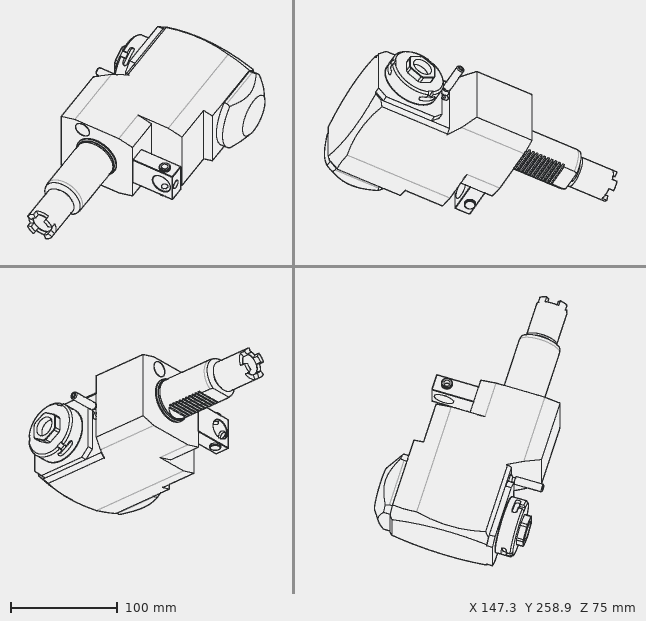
import cadquery as cq
import math


BODY_HALF_HEIGHT = 37.5
BLOCK_HALF_WIDTH = 39.0
SLOPE_WIDTH = 15.0
SLOPE = math.tan(math.radians(15))
STEP_Y = 35.2
HEAD_FRONT_Y = 75.0
HEAD_BACK_Y = 153.85
OVERALL_LENGTH = 258.85
MIDDLE_RIGHT_X = 72.1
HEAD_LEFT_X = -14.4
HEAD_RIGHT_X = 81.6
HEAD_LEFT_CHAMFER = 4.3
HEAD_LEFT_CHAMFER_WIDTH = 3.8
HEAD_CORNER_CHAMFER = 2.9
RELIEF_START_Y = 59.2
RELIEF_END_X = -9.6
CROWN_RADIUS = 186.0
CROWN_X = 23.5
CROWN_Y = 149.6
PLUG_X = -15.8
PLUG_Z = 27.6
PLUG_RADIUS = 7.6
PLUG_RECESS = 0.5

SPINDLE_Y = 120.0
PLATE_LEFT_X = -20.1
PLATE_HALF_HEIGHT = BODY_HALF_HEIGHT - HEAD_LEFT_CHAMFER
PLATE_CORNER = 8.2
NUT_RADIUS = 27.5
NUT_END_X = -37.3
NUT_START_X = -20.7
NUT_COLLAR_RADIUS = 26.7
NUT_CHAMFER = 2.0
NUT_SLOT_X = -29.0
NUT_SLOT_WIDTH = 4.8
NUT_SLOT_LENGTH = 18.6
NUT_NOTCH_WIDTH = 5.6
NUT_SLOT_FLOOR = 22.5
NUT_NOTCH_FLOOR = 24.6
NUT_SLOT_COUNT = 3
HEX_END_X = -44.1
HEX_ACROSS_FLATS = 27.0
HEX_CORNER_RADIUS = 14.85
HEX_CHAMFER = 0.5
HEX_BORE_RADIUS = 9.5
HEX_BORE_DEPTH = 7.0

NOZZLE_Y = 80.6
NOZZLE_Z = 17.2
NOZZLE_TIP_X = -47.2
NOZZLE_NECK_X = -19.6
NOZZLE_FLARE_X = -17.0
NOZZLE_RADIUS = 3.75
NOZZLE_NECK_RADIUS = 2.2
NOZZLE_FLARE_RADIUS = 4.6
NOZZLE_CHAMFER = 1.0
NOZZLE_BORE_RADIUS = 1.5
NOZZLE_BORE_DEPTH = 6.0
DRILL_Z = 10.2
DRILL_RADIUS = 1.5
DRILL_SEAT_RADIUS = 4.5
DRILL_SEAT_DEPTH = 0.3
DRILL_DEPTH = 5.0

CAP_RADIUS = 37.5
CAP_CONE_X = 88.3
CAP_END_X = 100.13
CAP_END_RADIUS = 20.7
CAP_BACK_Y = 149.8
CAP_FLAT_Z = 29.4
CAP_TILT_X = 84.5
CAP_TILT = 0.2

FLANGE_RADIUS = 21.6
FLANGE_LENGTH = 2.3
FLANGE_CHAMFER = 1.1
SHANK_RADIUS = 20.0
RELIEF_RADIUS = 19.85
RELIEF_LENGTH = 4.0
SHANK_TAPER_Y = -60.0
SHANK_END_Y = -63.2
SHANK_END_RADIUS = 19.4
FLAT_Z = -16.1
FLAT_START_Y = -8.2
FLAT_RAMP = SHANK_RADIUS + FLAT_Z
SERRATION_COUNT = 10
SERRATION_PITCH = 4.0
SERRATION_FIRST_Y = -11.5
SERRATION_DEPTH = 1.5
SERRATION_MOUTH = 3.0
SERRATION_ROOT = 1.6
NECK_RADIUS = 10.2
DRIVE_START_Y = -67.1
DRIVE_RADIUS = 15.0
DRIVE_SOCKET_Y = -99.4
CLAW_START_Y = -100.0
CLAW_END_Y = HEAD_BACK_Y - OVERALL_LENGTH
CLAW_COUNT = 4
CLAW_GAP_HALF_ANGLE = math.radians(26.5)

ARM_END_X = 82.2
ARM_FRONT_Y = 0.6
ARM_BACK_Y = 16.6
ARM_HALF_HEIGHT = 15.8
ARM_CHAMFER = 0.5
ARM_BORE_X = 70.1
ARM_BORE_RADIUS = 9.5
SCREW_Y = 6.9
SCREW_RADIUS = 5.3
SCREW_HEIGHT = 2.2
SCREW_CHAMFER = 0.7
SCREW_HOLE_RADIUS = 3.0
ARM_END_HOLE_RADIUS = 4.2

OVERLAP = 1.0
FULL_TURN = 360
HEX_SIDES = 6


def y_prism(points, y_start, y_end):
    """Prism along Y from an outline of (x, z) points."""
    plane = cq.Workplane("XZ", origin=(0, y_start, 0))
    return plane.polyline(points).close().extrude(y_start - y_end)


def x_cylinder(x_start, x_end, radius, y, z):
    plane = cq.Workplane("YZ", origin=(x_start, y, z))
    return plane.circle(radius).extrude(x_end - x_start)


def turned_on_x(points, y, z):
    """Solid turned about an axis along X from (x, radius) points."""
    profile = cq.Workplane("XY", origin=(0, y, z)).polyline(points).close()
    return profile.revolve(FULL_TURN, (0, 0, 0), (1, 0, 0))


def turned_on_y(points):
    """Solid turned about the shank axis from (radius, y) points."""
    profile = cq.Workplane("XY").polyline(points).close()
    return profile.revolve(FULL_TURN, (0, 0, 0), (0, 1, 0))


def right_sloped_outline(left_x, slope_x, right_x):
    """Right half of a (x, z) outline whose top and bottom slope down at the right."""
    edge_z = BODY_HALF_HEIGHT - SLOPE * (right_x - slope_x)
    return [
        (left_x, -BODY_HALF_HEIGHT),
        (slope_x, -BODY_HALF_HEIGHT),
        (right_x, -edge_z),
        (right_x, edge_z),
        (slope_x, BODY_HALF_HEIGHT),
        (left_x, BODY_HALF_HEIGHT),
    ]


def make_block():
    slope_x = BLOCK_HALF_WIDTH - SLOPE_WIDTH
    edge_z = BODY_HALF_HEIGHT - SLOPE * SLOPE_WIDTH
    outline = right_sloped_outline(-slope_x, slope_x, BLOCK_HALF_WIDTH)
    outline += [(-BLOCK_HALF_WIDTH, edge_z), (-BLOCK_HALF_WIDTH, -edge_z)]
    block = y_prism(outline, 0, HEAD_FRONT_Y)
    slope_start_x = MIDDLE_RIGHT_X - SLOPE_WIDTH
    middle_outline = right_sloped_outline(HEAD_LEFT_X, slope_start_x, MIDDLE_RIGHT_X)
    block = block.union(y_prism(middle_outline, STEP_Y, HEAD_FRONT_Y))
    relief = (
        cq.Workplane("XY", origin=(0, 0, -BODY_HALF_HEIGHT))
        .polyline([
            (-BLOCK_HALF_WIDTH, RELIEF_START_Y),
            (RELIEF_END_X, HEAD_FRONT_Y),
            (-BLOCK_HALF_WIDTH, HEAD_FRONT_Y),
        ])
        .close()
        .extrude(2 * BODY_HALF_HEIGHT)
    )
    return block.cut(relief)


def crown_cutter():
    """Removes the upper back edge along a large arc inclined at 45 degrees."""
    reach = 2 * BODY_HALF_HEIGHT
    apex = (CROWN_Y + BODY_HALF_HEIGHT) / math.sqrt(2)
    width = 4 * BODY_HALF_HEIGHT
    blank = (
        cq.Workplane("XY", origin=(CROWN_X, apex, -2 * reach))
        .rect(width, reach)
        .extrude(3 * reach)
    )
    keep = (
        cq.Workplane("XY", origin=(CROWN_X, apex - CROWN_RADIUS, -2 * reach))
        .circle(CROWN_RADIUS)
        .extrude(3 * reach)
    )
    return blank.cut(keep).rotate((0, 0, 0), (1, 0, 0), 45)


def make_head():
    chamfer_x = HEAD_LEFT_X + HEAD_LEFT_CHAMFER_WIDTH
    slope_start_x = MIDDLE_RIGHT_X - SLOPE_WIDTH
    outline = right_sloped_outline(chamfer_x, slope_start_x, HEAD_RIGHT_X)
    outline += [(HEAD_LEFT_X, PLATE_HALF_HEIGHT), (HEAD_LEFT_X, -PLATE_HALF_HEIGHT)]
    head = y_prism(outline, HEAD_FRONT_Y, HEAD_BACK_Y)
    back_corner = cq.selectors.NearestToPointSelector((HEAD_RIGHT_X, HEAD_BACK_Y, 0))
    head = head.edges(back_corner).chamfer(HEAD_CORNER_CHAMFER)
    upper = crown_cutter()
    return head.cut(upper).cut(upper.mirror("XY"))


def make_plate():
    half_width = HEAD_BACK_Y - SPINDLE_Y
    return (
        cq.Workplane("YZ", origin=(PLATE_LEFT_X, SPINDLE_Y, 0))
        .rect(2 * half_width, 2 * PLATE_HALF_HEIGHT)
        .extrude(HEAD_LEFT_X - PLATE_LEFT_X)
        .edges("|X")
        .chamfer(PLATE_CORNER)
    )


def nut_slot():
    """Wrench slot and end notch at the +Y side of the nut, about an axis at Y = 0."""
    top = NUT_RADIUS + OVERLAP
    plane = cq.Plane(origin=(0, top, 0), xDir=(1, 0, 0), normal=(0, 1, 0))
    slot = (
        cq.Workplane(plane)
        .center(NUT_SLOT_X, 0)
        .slot2D(NUT_SLOT_LENGTH, NUT_SLOT_WIDTH, 90)
        .extrude(NUT_SLOT_FLOOR - top)
    )
    notch_length = NUT_SLOT_X - NUT_END_X
    notch = (
        cq.Workplane(plane)
        .center(NUT_END_X + notch_length / 2, 0)
        .rect(notch_length, NUT_NOTCH_WIDTH)
        .extrude(NUT_NOTCH_FLOOR - top)
    )
    return slot.union(notch)


def make_nut():
    nut = turned_on_x([
        (PLATE_LEFT_X, 0),
        (PLATE_LEFT_X, NUT_COLLAR_RADIUS),
        (NUT_START_X, NUT_COLLAR_RADIUS),
        (NUT_START_X, NUT_RADIUS),
        (NUT_END_X + NUT_CHAMFER, NUT_RADIUS),
        (NUT_END_X, NUT_RADIUS - NUT_CHAMFER),
        (NUT_END_X, 0),
    ], SPINDLE_Y, 0)
    slot = nut_slot()
    for index in range(NUT_SLOT_COUNT):
        turned = slot.rotate((0, 0, 0), (1, 0, 0), index * FULL_TURN / NUT_SLOT_COUNT)
        nut = nut.cut(turned.translate((0, SPINDLE_Y, 0)))
    return nut


def make_hex():
    hexagon = (
        cq.Workplane("YZ", origin=(HEX_END_X, SPINDLE_Y, 0))
        .transformed(rotate=(0, 0, 90))
        .polygon(HEX_SIDES, HEX_ACROSS_FLATS / math.cos(math.pi / HEX_SIDES))
        .extrude(NUT_END_X - HEX_END_X)
    )
    turned_blank = x_cylinder(HEX_END_X, NUT_END_X, HEX_CORNER_RADIUS, SPINDLE_Y, 0)
    hexagon = hexagon.intersect(turned_blank)
    return hexagon.faces("<X").chamfer(HEX_CHAMFER)


def hex_bore():
    return x_cylinder(HEX_END_X, HEX_END_X + HEX_BORE_DEPTH, HEX_BORE_RADIUS, SPINDLE_Y, 0)


def make_nozzle():
    nozzle = turned_on_x([
        (NOZZLE_TIP_X, 0),
        (NOZZLE_TIP_X, NOZZLE_RADIUS - NOZZLE_CHAMFER),
        (NOZZLE_TIP_X + NOZZLE_CHAMFER, NOZZLE_RADIUS),
        (NOZZLE_NECK_X, NOZZLE_RADIUS),
        (NOZZLE_NECK_X, NOZZLE_NECK_RADIUS),
        (NOZZLE_FLARE_X, NOZZLE_NECK_RADIUS),
        (HEAD_LEFT_X, NOZZLE_FLARE_RADIUS),
        (HEAD_LEFT_X + OVERLAP, NOZZLE_FLARE_RADIUS),
        (HEAD_LEFT_X + OVERLAP, 0),
    ], NOZZLE_Y, NOZZLE_Z)
    bore_end_x = NOZZLE_TIP_X + NOZZLE_BORE_DEPTH
    return nozzle.cut(x_cylinder(NOZZLE_TIP_X, bore_end_x, NOZZLE_BORE_RADIUS, NOZZLE_Y, NOZZLE_Z))


def side_drilling():
    seat_end_x = HEAD_LEFT_X + DRILL_SEAT_DEPTH
    seat = x_cylinder(HEAD_LEFT_X, seat_end_x, DRILL_SEAT_RADIUS, NOZZLE_Y, DRILL_Z)
    drill = x_cylinder(HEAD_LEFT_X, HEAD_LEFT_X + DRILL_DEPTH, DRILL_RADIUS, NOZZLE_Y, DRILL_Z)
    return seat.union(drill)


def make_cap():
    cap = turned_on_x([
        (HEAD_RIGHT_X - OVERLAP, 0),
        (HEAD_RIGHT_X - OVERLAP, CAP_RADIUS),
        (CAP_CONE_X, CAP_RADIUS),
        (CAP_END_X, CAP_END_RADIUS),
        (CAP_END_X, 0),
    ], SPINDLE_Y, 0)
    start_x = HEAD_RIGHT_X - OVERLAP
    end_z = CAP_FLAT_Z - CAP_TILT * (CAP_END_X - CAP_TILT_X)
    envelope = y_prism([
        (start_x, -CAP_FLAT_Z),
        (CAP_TILT_X, -CAP_FLAT_Z),
        (CAP_END_X, -end_z),
        (CAP_END_X, end_z),
        (CAP_TILT_X, CAP_FLAT_Z),
        (start_x, CAP_FLAT_Z),
    ], SPINDLE_Y - CAP_RADIUS, CAP_BACK_Y)
    return cap.intersect(envelope)


def serrated_flat_cutter():
    """Removes the lower side of the shank and the rack of clamping grooves in it."""
    root_z = FLAT_Z + SERRATION_DEPTH
    low_z = -FLANGE_RADIUS - OVERLAP
    low_y = FLAT_START_Y + FLAT_RAMP
    cutter = (
        cq.Workplane("YZ", origin=(-FLANGE_RADIUS, 0, 0))
        .polyline([
            (FLAT_START_Y, FLAT_Z),
            (low_y, -SHANK_RADIUS),
            (low_y, low_z),
            (SHANK_END_Y, low_z),
            (SHANK_END_Y, FLAT_Z),
        ])
        .close()
        .extrude(2 * FLANGE_RADIUS)
    )
    for index in range(SERRATION_COUNT):
        groove_y = SERRATION_FIRST_Y - index * SERRATION_PITCH
        groove = (
            cq.Workplane("YZ", origin=(-FLANGE_RADIUS, groove_y, 0))
            .polyline([
                (-SERRATION_MOUTH / 2, FLAT_Z),
                (-SERRATION_ROOT / 2, root_z),
                (SERRATION_ROOT / 2, root_z),
                (SERRATION_MOUTH / 2, FLAT_Z),
            ])
            .close()
            .extrude(2 * FLANGE_RADIUS)
        )
        cutter = cutter.union(groove)
    return cutter


def make_shank():
    shank = turned_on_y([
        (0, OVERLAP),
        (FLANGE_RADIUS, OVERLAP),
        (FLANGE_RADIUS, -FLANGE_LENGTH + FLANGE_CHAMFER),
        (FLANGE_RADIUS - FLANGE_CHAMFER, -FLANGE_LENGTH),
        (RELIEF_RADIUS, -FLANGE_LENGTH),
        (RELIEF_RADIUS, -RELIEF_LENGTH),
        (SHANK_RADIUS, -RELIEF_LENGTH),
        (SHANK_RADIUS, SHANK_TAPER_Y),
        (SHANK_END_RADIUS, SHANK_END_Y),
        (0, SHANK_END_Y),
    ])
    return shank.cut(serrated_flat_cutter())


def make_drive():
    """Neck and drive end with claws set at 45 degrees to the X and Z directions."""
    drive = turned_on_y([
        (0, SHANK_END_Y + OVERLAP),
        (NECK_RADIUS, SHANK_END_Y + OVERLAP),
        (NECK_RADIUS, DRIVE_START_Y),
        (DRIVE_RADIUS, DRIVE_START_Y),
        (DRIVE_RADIUS, CLAW_END_Y),
        (0, CLAW_END_Y),
    ])
    claw_length = CLAW_START_Y - CLAW_END_Y
    end_plane = cq.Workplane("XZ", origin=(0, CLAW_START_Y, 0))
    socket_plane = cq.Workplane("XZ", origin=(0, DRIVE_SOCKET_Y, 0))
    drive = drive.cut(socket_plane.circle(NECK_RADIUS).extrude(DRIVE_SOCKET_Y - CLAW_END_Y))
    reach = 2 * DRIVE_RADIUS
    half_width = reach * math.tan(CLAW_GAP_HALF_ANGLE)
    gap = end_plane.polyline([(0, 0), (reach, -half_width), (reach, half_width)]).close()
    gap = gap.extrude(claw_length)
    for index in range(CLAW_COUNT):
        drive = drive.cut(gap.rotate((0, 0, 0), (0, 1, 0), index * FULL_TURN / CLAW_COUNT))
    return drive


def make_screw():
    """Screw head standing on the top of the arm."""
    return (
        cq.Workplane("XY", origin=(ARM_BORE_X, SCREW_Y, ARM_HALF_HEIGHT - OVERLAP))
        .circle(SCREW_RADIUS)
        .extrude(SCREW_HEIGHT + OVERLAP)
        .faces(">Z")
        .chamfer(SCREW_CHAMFER)
    )


def make_arm():
    """Arm with a bore along Y, met by an end hole and a screw hole closed at the lower head."""
    start_x = BLOCK_HALF_WIDTH - OVERLAP
    mid_y = (ARM_FRONT_Y + ARM_BACK_Y) / 2
    arm = (
        cq.Workplane("YZ", origin=(start_x, mid_y, 0))
        .rect(ARM_BACK_Y - ARM_FRONT_Y, 2 * ARM_HALF_HEIGHT)
        .extrude(ARM_END_X - start_x)
        .edges("|X or >X")
        .chamfer(ARM_CHAMFER)
    )
    screw = make_screw()
    arm = arm.union(screw).union(screw.mirror("XY"))
    bore = (
        cq.Workplane("XZ", origin=(ARM_BORE_X, ARM_FRONT_Y, 0))
        .circle(ARM_BORE_RADIUS)
        .extrude(ARM_FRONT_Y - ARM_BACK_Y)
    )
    screw_hole = (
        cq.Workplane("XY", origin=(ARM_BORE_X, SCREW_Y, -ARM_HALF_HEIGHT))
        .circle(SCREW_HOLE_RADIUS)
        .extrude(2 * ARM_HALF_HEIGHT + SCREW_HEIGHT)
    )
    end_hole = x_cylinder(ARM_BORE_X, ARM_END_X, ARM_END_HOLE_RADIUS, SCREW_Y, 0)
    arm = arm.cut(bore)
    rim = cq.selectors.BoxSelector(
        (ARM_BORE_X - 2 * ARM_BORE_RADIUS, ARM_FRONT_Y - ARM_CHAMFER, -2 * ARM_BORE_RADIUS),
        (ARM_BORE_X + 2 * ARM_BORE_RADIUS, ARM_FRONT_Y + ARM_CHAMFER, 2 * ARM_BORE_RADIUS),
    )
    arm = arm.edges(rim).edges("%CIRCLE").chamfer(ARM_CHAMFER)
    return arm.cut(screw_hole).cut(end_hole)


def plug_recess():
    return (
        cq.Workplane("XZ", origin=(PLUG_X, 0, PLUG_Z))
        .circle(PLUG_RADIUS)
        .extrude(-PLUG_RECESS)
    )


body = make_block().union(make_head()).cut(plug_recess()).cut(side_drilling())
spindle = make_plate().union(make_nut()).union(make_hex()).cut(hex_bore())
result = body.union(spindle).union(make_nozzle()).union(make_cap())
result = result.union(make_shank()).union(make_drive()).union(make_arm())